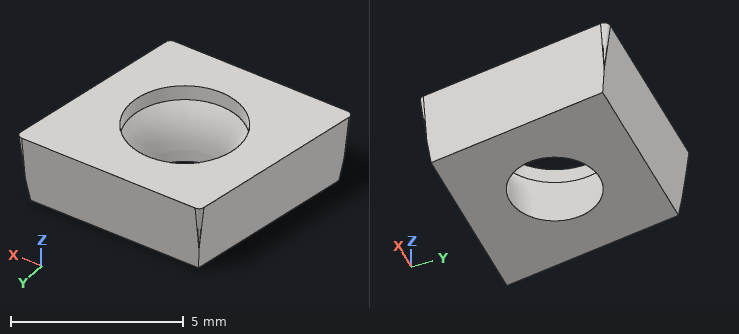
import cadquery as cq
import math

INSCRIBED_DIAMETER = 6.35
THICKNESS = 2.38
CORNER_ANGLE = 80.0
CLEARANCE_ANGLE = 7.0
CORNER_RADIUS = 0.2

MOUTH_DIAMETER = 3.75
MOUTH_DEPTH = 0.5
THROAT_DIAMETER = 2.8
SEAT_END_DEPTH = 1.98


def rhombus_corners(inscribed_radius):
    """Corners of the rhombus around a circle, with one pair of sides along X."""
    half_angle = math.radians(CORNER_ANGLE / 2)
    long_half = inscribed_radius / math.sin(half_angle)
    short_half = inscribed_radius / math.cos(half_angle)
    acute_corner = (long_half * math.cos(half_angle), long_half * math.sin(half_angle))
    obtuse_corner = (-short_half * math.sin(half_angle), short_half * math.cos(half_angle))
    return [
        acute_corner,
        obtuse_corner,
        (-acute_corner[0], -acute_corner[1]),
        (-obtuse_corner[0], -obtuse_corner[1]),
    ]


def insert_body():
    """Rounded rhombus narrowing downward; each nose is a cone that runs out to a sharp edge."""
    nose_centres = rhombus_corners(INSCRIBED_DIAMETER / 2 - CORNER_RADIUS)
    return (
        cq.Workplane("XY", origin=(0, 0, THICKNESS))
        .polyline(nose_centres)
        .close()
        .offset2D(CORNER_RADIUS, "arc")
        .extrude(-THICKNESS, taper=CLEARANCE_ANGLE)
    )


def screw_hole():
    """Revolved cutter whose seat curves tangentially into the throat."""
    mouth_radius = MOUTH_DIAMETER / 2
    throat_radius = THROAT_DIAMETER / 2
    mouth_end_z = THICKNESS - MOUTH_DEPTH
    seat_end_z = THICKNESS - SEAT_END_DEPTH

    seat_width = mouth_radius - throat_radius
    seat_height = mouth_end_z - seat_end_z
    seat_radius = (seat_height**2 + seat_width**2) / (2 * seat_width)
    half_sweep = math.asin(seat_height / seat_radius) / 2
    seat_middle = (
        throat_radius + seat_radius * (1 - math.cos(half_sweep)),
        seat_end_z + seat_radius * math.sin(half_sweep),
    )
    return (
        cq.Workplane("XZ")
        .lineTo(throat_radius, 0)
        .lineTo(throat_radius, seat_end_z)
        .threePointArc(seat_middle, (mouth_radius, mouth_end_z))
        .lineTo(mouth_radius, THICKNESS)
        .lineTo(0, THICKNESS)
        .close()
        .revolve(360, (0, 0), (0, 1))
    )


result = insert_body().cut(screw_hole())